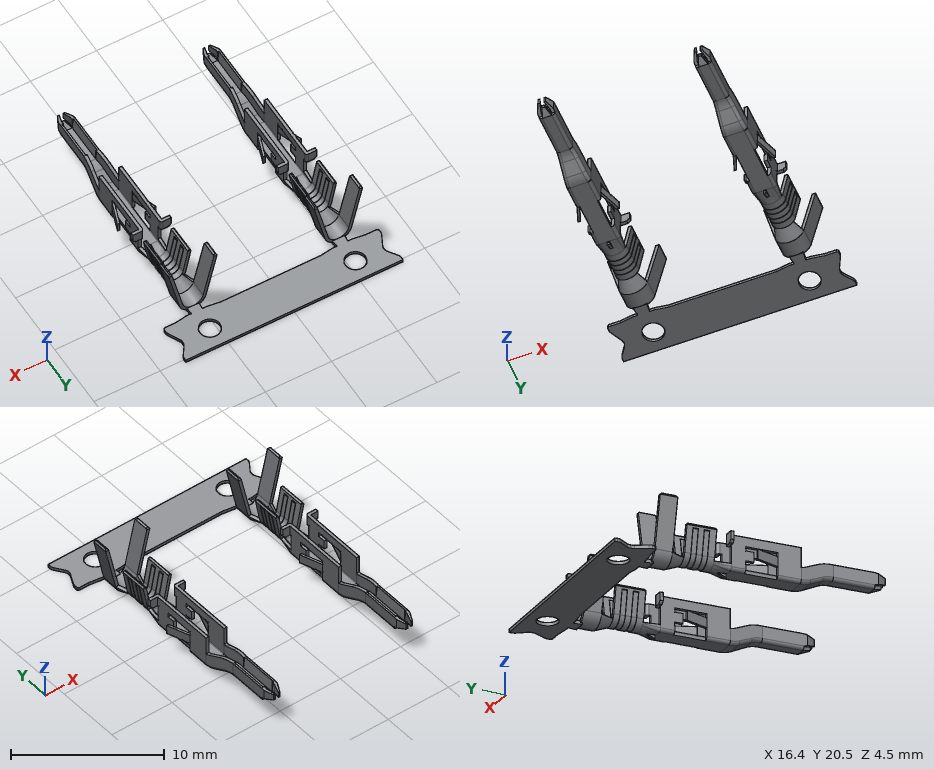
import cadquery as cq
import math


sheet = 0.24
bend_radius = 0.23
inner_bend_radius = 0.03
pitch = 11.0
strip_length = 16.42
strip_width = 3.02
pilot_diameter = 1.5
pilot_y = -1.5
notch_depth = 0.6
notch_round = 0.5
notch_top_y = -1.22
notch_bottom_y = -1.55
rear_shoulder_y = -0.35
front_shoulder_y = -2.6
front_inset = 0.08
corner_chamfer = 0.1
bulge = 0.14
bulge_half_base = 1.7
bulge_half_top = 0.75

insulation_rear_y = -3.66
insulation_front_y = -4.92
conductor_rear_y = -5.88
conductor_front_y = -8.02
box_rear_y = -9.2
box_front_y = -14.2
pin_straight_end_y = -19.63
tip_end_y = -20.5

neck_rear_half_width = 0.4
neck_front_half_width = 0.48
insulation_radius = 1.03
insulation_lean = 13.0
insulation_top = 4.5
insulation_corner = 0.14
floor_z = 0.37
conductor_radius = 0.82
conductor_lean = 11.0
conductor_top = 3.02
conductor_corner = 0.08
serration_width = 0.38
serration_depth = 0.04
serration_top = 2.8
serration_ys = (-6.52, -7.33)
rear_web_top = 0.78
rear_web_narrow_top = 0.72
front_web_top = 0.83
web_outer_splits = (0.75, 0.9)
web_inner_splits = (0.92, 0.95)

box_half_width = 0.865
box_top = 2.86
tab_rear_y = -8.88
tab_bottom = 2.07
tab_half_span = 1.46
tab_chamfer = 0.2
tab_bend_radius = 0.19
window_rear_y = -10.23
window_front_y = -12.52
window_top = 2.2
lance_bottom = 1.2
lance_top = 1.9
lance_tip_y = -10.84
lance_half_span = 1.46
lance_thickness = 0.18
tongue_end_y = -10.82

tang_half_width = 0.1
tang_rear_y = -8.6
tang_front_y = -9.17
tang_bottom = 0.11

channel_depth = 1.11
crank_angle = math.radians(23.5)
crank_radius = 1.87
crank_rise = 0.72
pin_half_width = 0.565
pin_top_wall = 0.14

prong_shoulder_y = -19.88
prong_end_half_width = 0.27
prong_thickness = 0.24
prong_end_thickness = 0.13
prong_end_bottom = 1.58
prong_end_top = 2.03
nose_end_y = -20.28
nose_end_half_width = 0.1
nose_rise = 0.22

terminal_xs = (-pitch / 2, pitch / 2)
crank_length = (crank_rise - 2 * crank_radius * (1 - math.cos(crank_angle))) / math.sin(crank_angle)
pin_rear_y = box_front_y - 2 * crank_radius * math.sin(crank_angle) - crank_length * math.cos(crank_angle)
pin_floor_z = floor_z + crank_rise
pin_top_z = pin_floor_z + channel_depth


def block(x0, x1, y0, y1, z0, z1):
    """Axis-aligned box between two opposite corners."""
    size = cq.Workplane("XY").box(abs(x1 - x0), abs(y1 - y0), abs(z1 - z0))
    return size.translate(((x0 + x1) / 2, (y0 + y1) / 2, (z0 + z1) / 2))


def section_plane(y):
    """Plane across the terminal at station y, facing the pin end."""
    return cq.Workplane("XZ", origin=(0, y, 0))


def side_prism(points, x0, x1):
    """Extrude a (Y, Z) polygon from x0 to x1."""
    return cq.Workplane("YZ", origin=(x0, 0, 0)).polyline(points).close().extrude(x1 - x0)


def plan_prism(points, z0, z1):
    """Extrude an (X, Y) polygon from z0 to z1."""
    return cq.Workplane("XY", origin=(0, 0, z0)).polyline(points).close().extrude(z1 - z0)


def both_sides(solid):
    """The solid and its mirror image on the other side of the terminal."""
    return solid.union(solid.mirror("YZ"))


def carrier_strip():
    half = strip_length / 2
    right_end = [
        (half, 0),
        (half, rear_shoulder_y),
        (half - notch_depth, notch_top_y),
        (half - notch_depth, notch_bottom_y),
        (half - front_inset, front_shoulder_y),
        (half - front_inset, -strip_width + corner_chamfer),
        (half - front_inset - corner_chamfer, -strip_width),
    ]
    left_end = [(-x, y) for x, y in reversed(right_end)]
    strip = plan_prism(right_end + left_end, 0, sheet)
    notch_zone = cq.selectors.BoxSelector((-strip_length, front_shoulder_y - corner_chamfer, -sheet),
                                          (strip_length, rear_shoulder_y / 2, sheet))
    strip = strip.edges("|Z").edges(notch_zone).fillet(notch_round)
    for x in terminal_xs:
        swell = [
            (x - bulge_half_base, -strip_width),
            (x - bulge_half_top, -strip_width - bulge),
            (x + bulge_half_top, -strip_width - bulge),
            (x + bulge_half_base, -strip_width),
        ]
        strip = strip.union(plan_prism(swell, 0, sheet))
    pilots = cq.Workplane("XY").pushPoints([(x, pilot_y) for x in terminal_xs])
    return strip.cut(pilots.circle(pilot_diameter / 2).extrude(sheet))


def barrel(y0, y1, base, radius, outer, lean_degrees, top):
    """Open U barrel: an arc floor with leaning straight wings and ridged wing ends.

    radius fixes the arc centre above base; outer is the outside radius actually used.
    """
    lean = math.radians(lean_degrees)
    centre = base + radius
    inner = outer - sheet
    middle = (outer + inner) / 2
    cap = sheet / 2
    end_z = top - cap
    run = (end_z - centre + middle * math.sin(lean)) / math.cos(lean)

    def wing(r, along):
        x = r * math.cos(lean) + along * math.sin(lean)
        z = centre - r * math.sin(lean) + along * math.cos(lean)
        return x, z

    def flip(point):
        return -point[0], point[1]

    outer_root, outer_end = wing(outer, 0), wing(outer, run)
    inner_root, inner_end = wing(inner, 0), wing(inner, run)
    crown = wing(middle, run + cap)
    profile = (
        section_plane(y0)
        .moveTo(*flip(outer_end))
        .lineTo(*flip(outer_root))
        .threePointArc((0, centre - outer), outer_root)
        .lineTo(*outer_end)
        .lineTo(*crown)
        .lineTo(*inner_end)
        .lineTo(*inner_root)
        .threePointArc((0, centre - inner), flip(inner_root))
        .lineTo(*flip(inner_end))
        .lineTo(*flip(crown))
        .close()
    )
    return profile.extrude(y0 - y1)


def corner_mask(y0, y1, top, corner):
    """Side envelope of a barrel, with its two upper corners cut off."""
    reach = 2 * tab_half_span
    outline = [
        (y0, 0),
        (y0, top - corner),
        (y0 - corner, top),
        (y1 + corner, top),
        (y1, top - corner),
        (y1, 0),
    ]
    return side_prism(outline, -reach, reach)


def insulation_barrel():
    body = barrel(insulation_rear_y, insulation_front_y, 0, insulation_radius,
                  insulation_radius, insulation_lean, insulation_top)
    return body.intersect(
        corner_mask(insulation_rear_y, insulation_front_y, insulation_top, insulation_corner))


def conductor_barrel():
    body = barrel(conductor_rear_y, conductor_front_y, floor_z, conductor_radius,
                  conductor_radius, conductor_lean, conductor_top)
    body = body.intersect(
        corner_mask(conductor_rear_y, conductor_front_y, conductor_top, conductor_corner))
    for y in serration_ys:
        y0 = y + serration_width / 2
        y1 = y - serration_width / 2
        groove = barrel(y0, y1, floor_z, conductor_radius, conductor_radius + sheet - serration_depth,
                        conductor_lean, serration_top)
        rib = barrel(y0, y1, floor_z, conductor_radius, conductor_radius - serration_depth,
                     conductor_lean, serration_top)
        body = body.cut(groove).union(rib)
    return body


def arc_row(wp, radius, centre, angles):
    """Consecutive arcs about (0, centre) through the given angles from straight down."""
    def on_arc(angle):
        return radius * math.sin(angle), centre - radius * math.cos(angle)

    for start, end in zip(angles, angles[1:]):
        wp = wp.threePointArc(on_arc((start + end) / 2), on_arc(end))
    return wp


def trough_wire(wp, base, radius, top, outer_splits=(), inner_splits=()):
    """Arc trough trimmed at height top; splits divide each arc, as fractions of its half angle."""
    centre = base + radius
    inner_radius = radius - sheet
    half_angle = math.acos((centre - top) / radius)

    def angles(splits):
        right = [half_angle * fraction for fraction in (*splits, 1)]
        return [-angle for angle in reversed(right)] + right

    sine, cosine = math.sin(half_angle), math.cos(half_angle)
    wp = wp.moveTo(-radius * sine, centre - radius * cosine)
    wp = arc_row(wp, radius, centre, angles(outer_splits))
    wp = wp.lineTo(inner_radius * sine, centre - inner_radius * cosine)
    return arc_row(wp, inner_radius, centre, angles(inner_splits)[::-1]).close()


def channel_wire(wp, half_width, base, top):
    """U channel outline with rounded outer bends and small inner bends."""
    wp = wp.moveTo(-half_width, top)
    inside = half_width - sheet
    wp = channel_run(wp, half_width, base, bend_radius, top)
    wp = wp.lineTo(inside, top)
    return channel_run(wp, -inside, base + sheet, inner_bend_radius, top).close()


def channel_run(wp, half_width, low, bend, top):
    """Down the wall at -half_width, across the floor and up the wall at +half_width.

    A negative half_width runs the same way from right to left.
    """
    side = math.copysign(1, half_width)
    root = half_width - side * bend
    middle = half_width - side * bend * (1 - math.sqrt(0.5))
    middle_z = low + bend * (1 - math.sqrt(0.5))
    return (
        wp.lineTo(-half_width, low + bend)
        .threePointArc((-middle, middle_z), (-root, low))
        .lineTo(root, low)
        .threePointArc((middle, middle_z), (half_width, low + bend))
        .lineTo(half_width, top)
    )


def neck():
    """Flat link from the strip to the insulation barrel."""
    rear_y = -strip_width
    front_y = insulation_rear_y - sheet / 2
    outline = [
        (-neck_rear_half_width, rear_y),
        (neck_rear_half_width, rear_y),
        (neck_front_half_width, front_y),
        (-neck_front_half_width, front_y),
    ]
    return plan_prism(outline, 0, sheet)


def rear_web():
    """Trough rising from the insulation barrel to the conductor barrel."""
    start = trough_wire(section_plane(insulation_front_y), 0, insulation_radius, rear_web_top)
    end_plane = start.workplane(offset=insulation_front_y - conductor_rear_y)
    web = trough_wire(end_plane, floor_z, conductor_radius, rear_web_narrow_top)
    return web.loft(ruled=True)


def front_web():
    """Trough changing from the conductor arc to the square box section."""
    start = trough_wire(section_plane(conductor_front_y), floor_z, conductor_radius, front_web_top,
                        web_outer_splits, web_inner_splits)
    end_plane = start.workplane(offset=conductor_front_y - box_rear_y)
    return channel_wire(end_plane, box_half_width, floor_z, front_web_top).loft(ruled=True)


def stop_tang():
    """Small tongue sheared from the floor and bent down ahead of the box."""
    outline = [
        (tang_rear_y, floor_z + sheet),
        (tang_rear_y, floor_z),
        (tang_front_y, tang_bottom),
        (tang_front_y, tang_bottom + sheet),
    ]
    return side_prism(outline, -tang_half_width, tang_half_width)


def tang_slot():
    """Opening left in the floor above the tang."""
    outline = [
        (-tang_half_width, tang_front_y),
        (tang_half_width, tang_front_y),
        (0, tang_rear_y),
    ]
    return plan_prism(outline, 0, floor_z + 2 * sheet)


def locking_lance():
    """Lance in the +X wall: rooted at the front of the window and sprung outward to the rear."""
    inside = box_half_width - lance_thickness
    outline = [
        (box_half_width, window_front_y - sheet),
        (box_half_width, window_front_y),
        (lance_half_span, lance_tip_y),
        (lance_half_span - lance_thickness, lance_tip_y),
        (inside, window_front_y),
        (inside, window_front_y - sheet),
    ]
    return plan_prism(outline, lance_bottom, lance_top)


def end_tab():
    """Tab at the rear top corner of the +X wall, bent outward."""
    outline = [
        (box_half_width - sheet, tab_bottom),
        (tab_half_span - tab_chamfer, tab_bottom),
        (tab_half_span, tab_bottom + tab_chamfer),
        (tab_half_span, box_top),
        (box_half_width - sheet, box_top),
    ]
    front_y = tab_rear_y - sheet
    tab = section_plane(tab_rear_y).polyline(outline).close().extrude(sheet)
    link = block(box_half_width - sheet, box_half_width, front_y, box_rear_y, tab_bottom, box_top)
    bend = tab.union(link)
    return bend.edges(
        cq.selectors.NearestToPointSelector((box_half_width - sheet, tab_rear_y, box_top - tab_chamfer))
    ).fillet(tab_bend_radius)


def box_section():
    body = channel_wire(section_plane(box_rear_y), box_half_width, floor_z, box_top)
    body = body.extrude(box_rear_y - box_front_y)
    inner = box_half_width - sheet
    window = block(inner, box_half_width, window_rear_y, window_front_y, floor_z, window_top)
    body = body.cut(both_sides(window))
    tongue = block(inner, box_half_width, window_rear_y, tongue_end_y, lance_bottom, lance_top)
    return body.union(both_sides(tongue.union(locking_lance()).union(end_tab())))


def cranked_side(low, high):
    """Side silhouette of the cranked neck between two heights above the floor underside."""
    lower = cranked_path(low)
    upper = cranked_path(high)
    return (
        cq.Workplane("YZ", origin=(-box_half_width, 0, 0))
        .moveTo(*lower[0])
        .threePointArc(lower[1], lower[2])
        .lineTo(*lower[3])
        .threePointArc(lower[4], lower[5])
        .lineTo(*upper[5])
        .threePointArc(upper[4], upper[3])
        .lineTo(*upper[2])
        .threePointArc(upper[1], upper[0])
        .close()
        .extrude(2 * box_half_width)
    )


def cranked_path(height):
    """Points of the S-shaped path at a given height: start, two bends with midpoints, end."""
    lower_r = crank_radius - height
    upper_r = crank_radius + height
    lower_z = floor_z + crank_radius
    upper_z = pin_floor_z - crank_radius

    def lower(angle):
        return box_front_y - lower_r * math.sin(angle), lower_z - lower_r * math.cos(angle)

    def upper(angle):
        return pin_rear_y + upper_r * math.sin(angle), upper_z + upper_r * math.cos(angle)

    return [
        lower(0),
        lower(crank_angle / 2),
        lower(crank_angle),
        upper(crank_angle),
        upper(crank_angle / 2),
        upper(0),
    ]


def cranked_plan(inset):
    """Plan outline of the tapering neck, inset from the outside by a wall."""
    wide = box_half_width - inset
    narrow = pin_half_width - inset
    right = [
        (wide, box_front_y),
        (narrow, pin_rear_y),
    ]
    left = [(-x, y) for x, y in reversed(right)]
    return plan_prism(right + left, 0, box_top)


def lower_side_edges(body):
    """Long edges where the underside of the cranked body meets its side walls."""
    underside = [face for face in body.faces().vals() if face.normalAt().z < -0.5]
    edges = [edge for face in underside for edge in face.Edges()]
    return [edge for edge in edges if abs(edge.Center().x) > pin_half_width / 2]


def cranked_neck():
    """Open channel that narrows and steps up from the box to the straight pin."""
    outer = cranked_side(0, channel_depth).intersect(cranked_plan(0))
    outer = outer.newObject(lower_side_edges(outer)).fillet(bend_radius)
    inner = cranked_side(sheet, channel_depth + sheet).intersect(cranked_plan(sheet))
    return outer.cut(inner)


def straight_pin():
    length = pin_rear_y - pin_straight_end_y
    body = channel_wire(section_plane(pin_rear_y), pin_half_width, pin_floor_z, pin_top_z)
    return body.extrude(length).cut(pin_flare())


def pin_flare():
    """Widening of the pin channel toward its thinner upper wall edges."""
    low = pin_half_width - sheet
    high = pin_half_width - pin_top_wall
    bottom_z = pin_floor_z + sheet
    outline = [(-low, bottom_z), (low, bottom_z), (high, pin_top_z), (-high, pin_top_z)]
    length = pin_rear_y - pin_straight_end_y
    return section_plane(pin_rear_y).polyline(outline).close().extrude(length)


def tip_prongs():
    """Ends of the two pin walls, folded toward each other and tapered in height."""
    outline = [
        (pin_half_width, pin_straight_end_y),
        (pin_half_width, prong_shoulder_y),
        (prong_end_half_width, tip_end_y),
        (prong_end_half_width - prong_end_thickness, tip_end_y),
        (pin_half_width - prong_thickness, prong_shoulder_y),
        (pin_half_width - prong_thickness, pin_straight_end_y),
    ]
    silhouette = [
        (pin_straight_end_y, pin_top_z),
        (tip_end_y, prong_end_top),
        (tip_end_y, prong_end_bottom),
        (pin_straight_end_y, pin_floor_z + sheet),
    ]
    prong = plan_prism(outline, 0, box_top).intersect(side_prism(silhouette, 0, box_half_width))
    return both_sides(prong)


def tip_nose():
    """Pointed end of the pin floor, sloping up between the prongs."""
    half = pin_half_width - sheet
    outline = [
        (half, pin_straight_end_y),
        (nose_end_half_width, nose_end_y),
        (-nose_end_half_width, nose_end_y),
        (-half, pin_straight_end_y),
    ]
    silhouette = [
        (pin_straight_end_y, pin_floor_z + sheet),
        (nose_end_y, pin_floor_z + nose_rise + sheet),
        (nose_end_y, pin_floor_z + nose_rise),
        (pin_straight_end_y, pin_floor_z),
    ]
    return plan_prism(outline, 0, box_top).intersect(side_prism(silhouette, -half, half))


def terminal():
    body = neck().union(insulation_barrel()).union(rear_web()).union(conductor_barrel())
    body = body.union(front_web()).cut(tang_slot()).union(stop_tang())
    body = body.union(box_section()).union(cranked_neck()).union(straight_pin())
    return body.union(tip_prongs()).union(tip_nose())


contact = terminal()
result = carrier_strip()
for terminal_x in terminal_xs:
    result = result.union(contact.translate((terminal_x, 0, 0)))